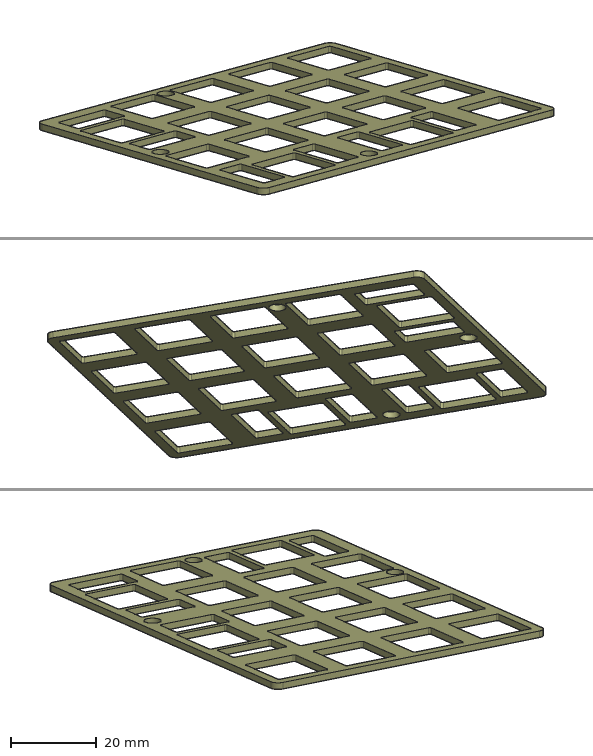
import cadquery as cq

KEY_PITCH = 19.05
COLUMNS = 4
ROWS = 5
PLATE_WIDTH = COLUMNS * KEY_PITCH
PLATE_DEPTH = ROWS * KEY_PITCH
PLATE_THICKNESS = 1.6
PLATE_CORNER_RADIUS = 2.0

SWITCH_SIZE = 14.0
CUTOUT_CORNER_RADIUS = 0.5

STABILIZER_LENGTH = 15.05
STABILIZER_WIDTH = 7.0
STABILIZER_REACH = 11.9
STABILIZER_OFFSET = 1.5

SCREW_DIAMETER = 4.0
SCREW_INSET = 4.0
FRONT_SCREW_X = 37.6


def key_center(column, row):
    """Center of a key; fractional positions lie between grid cells."""
    return ((column + 0.5) * KEY_PITCH, (row + 0.5) * KEY_PITCH)


def rounded_windows(centers, width, depth):
    """Through cutters with slightly rounded corners."""
    return (
        cq.Workplane("XY")
        .pushPoints(centers)
        .rect(width, depth)
        .extrude(PLATE_THICKNESS)
        .edges("|Z")
        .fillet(CUTOUT_CORNER_RADIUS)
    )


single_keys = [key_center(column, row) for column in range(3) for row in range(1, ROWS)]
single_keys += [key_center(2, 0), key_center(3, 4)]
wide_keys = [key_center(0.5, 0)]
tall_keys = [key_center(3, 0.5), key_center(3, 2.5)]

wide_stabilizers = [
    (x + side * STABILIZER_REACH, y + STABILIZER_OFFSET) for x, y in wide_keys for side in (-1, 1)
]
tall_stabilizers = [
    (x - STABILIZER_OFFSET, y + side * STABILIZER_REACH) for x, y in tall_keys for side in (-1, 1)
]

side_screw_y = 2 * KEY_PITCH
screws = [
    (SCREW_INSET, side_screw_y),
    (PLATE_WIDTH - SCREW_INSET, side_screw_y),
    (FRONT_SCREW_X, SCREW_INSET),
]

plate = (
    cq.Workplane("XY")
    .rect(PLATE_WIDTH, PLATE_DEPTH, centered=False)
    .extrude(PLATE_THICKNESS)
    .edges("|Z")
    .fillet(PLATE_CORNER_RADIUS)
)
screw_holes = cq.Workplane("XY").pushPoints(screws).circle(SCREW_DIAMETER / 2).extrude(PLATE_THICKNESS)

result = (
    plate.cut(rounded_windows(single_keys + wide_keys + tall_keys, SWITCH_SIZE, SWITCH_SIZE))
    .cut(rounded_windows(wide_stabilizers, STABILIZER_WIDTH, STABILIZER_LENGTH))
    .cut(rounded_windows(tall_stabilizers, STABILIZER_LENGTH, STABILIZER_WIDTH))
    .cut(screw_holes)
)